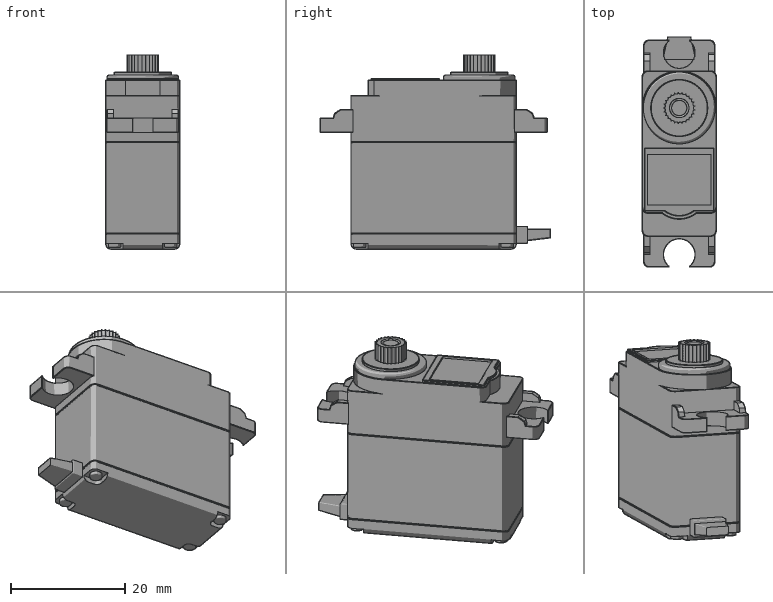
import cadquery as cq
import math

CASE_WIDTH = 13.0
CASE_LENGTH = 29.0
CASE_CORNER_RADIUS = 1.0
SHOULDER_HEIGHT = 27.0
CASE_END = CASE_LENGTH / 2
CASE_SIDE = CASE_WIDTH / 2
BOTTOM_FILLET = 1.0
EDGE_BREAK = 0.1

GROOVE_HEIGHTS = (2.75, 18.8)
GROOVE_WIDTH = 0.2
GROOVE_DEPTH = 0.2

POCKET_SIZE = 3.05
POCKET_RADIUS = 0.93
POCKET_DEPTH = BOTTOM_FILLET
SCREW_INSET = 1.58
SCREW_HEAD_RADIUS = 1.1
SCREW_HEAD_BOTTOM = 0.32
SCREW_HEAD_FILLET = 0.2

SHAFT_Y = CASE_END - CASE_SIDE
TIER_TOP = 29.65
TIER_FRONT = -10.45
TIER_BULGE_WIDTH = 6.0
TIER_BULGE_DEPTH = 1.05

PLATE_WIDTH = 12.2
PLATE_BACK = 1.0
PLATE_FRONT = -10.1
PLATE_THICKNESS = 0.32
PLATE_BULGE_WIDTH = 5.1
PLATE_BULGE_DEPTH = 0.85
PLATE_CORNER_RADIUS = 0.2
WINDOW_WIDTH = 11.05
WINDOW_BACK = -0.12
WINDOW_FRONT = -9.0

COLLAR_RADIUS = 6.3
COLLAR_TOP = 30.6
COLLAR_FILLET = 0.5
DISC_RADIUS = 5.0
DISC_TOP = 31.05

LUG_END = 19.9
LUG_WIDTH = 12.52
LUG_BOTTOM = 20.5
LUG_TOP = 23.0
LUG_CORNER_RADIUS = 1.0
LUG_HOLE_RADIUS = 2.75
LUG_HOLE_Y = 17.7
LUG_SLOT_WIDTH = 3.55

GUSSET_WIDTH = 1.17
GUSSET_TOP = 24.52
GUSSET_FLAT = 1.78
GUSSET_SLOPES = ((0.6, 0.35), (0.5, 0.35), (0.3, 0.85))

BOOT_WIDTH = 6.05
BOOT_LENGTH = 1.98
BOOT_BOTTOM = 1.0
BOOT_TOP = 4.0
CABLE_END = 20.5
CABLE_FILLET = 0.2
CABLE_TOP = 3.5
CABLE_ROOT_WIDTH = 5.8
CABLE_ROOT_BOTTOM = 1.5
CABLE_TIP_WIDTH = 4.05
CABLE_TIP_BOTTOM = 1.98

SHAFT_TOP = 34.1
SPLINE_TEETH = 25
SPLINE_TIP_RADIUS = 2.75
SPLINE_ROOT_RADIUS = 2.45
RECESS_RADIUS = 1.7
RECESS_FLOOR_RADIUS = 1.35
RECESS_DEPTH = 0.12


def block(width, y_start, y_end, z_start, z_end):
    """Box centred on X between two Y and two Z positions."""
    size = (width, y_end - y_start, z_end - z_start)
    return cq.Workplane().box(*size, centered=(True, False, False)).translate((0, y_start, z_start))


def disc(radius, y, z_start, z_end):
    """Upright cylinder on the YZ plane of symmetry."""
    return cq.Workplane(origin=(0, y, z_start)).circle(radius).extrude(z_end - z_start)


def bulged_outline(z, width, back, front, bulge_width, bulge_depth):
    """Rectangle whose -Y side swells outwards in a shallow arc at its middle."""
    return (
        cq.Workplane(origin=(0, 0, z))
        .moveTo(-width / 2, back)
        .lineTo(-width / 2, front)
        .lineTo(-bulge_width / 2, front)
        .threePointArc((0, front - bulge_depth), (bulge_width / 2, front))
        .lineTo(width / 2, front)
        .lineTo(width / 2, back)
        .close()
    )


def make_case():
    body = block(CASE_WIDTH, -CASE_END, CASE_END, 0, SHOULDER_HEIGHT)
    body = body.edges("|Z").fillet(CASE_CORNER_RADIUS)
    return body.faces("<Z").edges().fillet(BOTTOM_FILLET).faces(">Z").edges().chamfer(EDGE_BREAK)


def make_groove(height):
    """Thin ring around the case, to be cut away."""
    z_start = height - GROOVE_WIDTH / 2
    z_end = z_start + GROOVE_WIDTH
    core_end = CASE_END - GROOVE_DEPTH
    outer = block(CASE_WIDTH, -CASE_END, CASE_END, z_start, z_end)
    core = block(CASE_WIDTH - 2 * GROOVE_DEPTH, -core_end, core_end, z_start, z_end)
    core = core.edges("|Z").fillet(CASE_CORNER_RADIUS)
    return outer.cut(core)


def make_tier():
    base = SHOULDER_HEIGHT - EDGE_BREAK
    tier = bulged_outline(
        base, CASE_WIDTH, SHAFT_Y, TIER_FRONT, TIER_BULGE_WIDTH, TIER_BULGE_DEPTH
    ).extrude(TIER_TOP - base)
    tier = tier.edges("|Z and (<X or >X)").edges("<Y").fillet(CASE_CORNER_RADIUS)
    tier = tier.union(disc(CASE_SIDE, SHAFT_Y, base, TIER_TOP))
    return tier.faces(">Z").edges().chamfer(EDGE_BREAK)


def make_label_plate():
    top = TIER_TOP + PLATE_THICKNESS
    plate = bulged_outline(
        TIER_TOP, PLATE_WIDTH, PLATE_BACK, PLATE_FRONT, PLATE_BULGE_WIDTH, PLATE_BULGE_DEPTH
    ).extrude(PLATE_THICKNESS)
    plate = plate.edges("|Z and >Y").fillet(PLATE_CORNER_RADIUS)
    plate = plate.faces(">Z").edges().chamfer(EDGE_BREAK)
    return plate.cut(block(WINDOW_WIDTH, WINDOW_FRONT, WINDOW_BACK, TIER_TOP, top))


def make_boss():
    collar = disc(COLLAR_RADIUS, SHAFT_Y, TIER_TOP, COLLAR_TOP).faces(">Z").edges().fillet(COLLAR_FILLET)
    rim = disc(DISC_RADIUS, SHAFT_Y, COLLAR_TOP, DISC_TOP).faces(">Z").edges().chamfer(EDGE_BREAK)
    return collar.union(rim)


def make_gusset():
    """Rib on the +X side of the +Y lug, sloping down to the lug at its outer end."""
    gusset = (
        cq.Workplane("YZ", origin=(LUG_WIDTH / 2 - GUSSET_WIDTH, CASE_END, 0))
        .moveTo(-CASE_CORNER_RADIUS, LUG_BOTTOM + CASE_CORNER_RADIUS)
        .lineTo(-CASE_CORNER_RADIUS, GUSSET_TOP)
        .lineTo(GUSSET_FLAT, GUSSET_TOP)
    )
    for run, drop in GUSSET_SLOPES:
        gusset = gusset.line(run, -drop)
    gusset = gusset.lineTo(GUSSET_FLAT + sum(run for run, _ in GUSSET_SLOPES), LUG_BOTTOM + CASE_CORNER_RADIUS)
    gusset = gusset.close().extrude(GUSSET_WIDTH)
    return gusset.faces(">X").edges("not (<Y or <Z)").chamfer(EDGE_BREAK)


def make_lug():
    """Lug on the +Y end: an open screw hole between two gussets."""
    lug = block(LUG_WIDTH, CASE_END - CASE_CORNER_RADIUS, LUG_END, LUG_BOTTOM, LUG_TOP)
    lug = lug.edges("|Z and >Y").fillet(LUG_CORNER_RADIUS)
    lug = lug.faces("<Z or >Z").edges("not <Y").chamfer(EDGE_BREAK)
    lug = lug.cut(disc(LUG_HOLE_RADIUS, LUG_HOLE_Y, LUG_BOTTOM, LUG_TOP))
    lug = lug.cut(block(LUG_SLOT_WIDTH, LUG_HOLE_Y, LUG_END, LUG_BOTTOM, LUG_TOP))
    gusset = make_gusset()
    return lug.union(gusset).union(gusset.mirror("YZ"))


def make_corner_pocket():
    """Screw pocket of the +X +Y bottom corner, with the screw head left standing in it."""
    pocket = (
        cq.Workplane(origin=(CASE_SIDE, CASE_END, 0))
        .rect(-2 * POCKET_SIZE, -2 * POCKET_SIZE)
        .extrude(POCKET_DEPTH)
        .edges("|Z")
        .fillet(POCKET_RADIUS)
    )
    head = (
        cq.Workplane(origin=(CASE_SIDE - SCREW_INSET, CASE_END - SCREW_INSET, SCREW_HEAD_BOTTOM))
        .circle(SCREW_HEAD_RADIUS)
        .extrude(POCKET_DEPTH - SCREW_HEAD_BOTTOM)
        .faces("<Z")
        .edges()
        .fillet(SCREW_HEAD_FILLET)
    )
    return pocket.cut(head)


def make_cable():
    boot_end = CASE_END + BOOT_LENGTH
    boot = block(BOOT_WIDTH, CASE_END - CASE_CORNER_RADIUS, boot_end, BOOT_BOTTOM, BOOT_TOP)
    boot = boot.edges("not <Y").fillet(CABLE_FILLET)
    root_height = CABLE_TOP - CABLE_ROOT_BOTTOM
    tip_height = CABLE_TOP - CABLE_TIP_BOTTOM
    cable = (
        cq.Workplane("XZ", origin=(0, boot_end, CABLE_TOP))
        .center(0, -root_height / 2)
        .rect(CABLE_ROOT_WIDTH, root_height)
        .workplane(offset=boot_end - CABLE_END)
        .center(0, (root_height - tip_height) / 2)
        .rect(CABLE_TIP_WIDTH, tip_height)
        .loft(ruled=True)
        .edges("not (|X or |Z)")
        .fillet(CABLE_FILLET)
    )
    return boot.union(cable)


def make_housing():
    housing = make_case().union(make_tier())
    for height in GROOVE_HEIGHTS:
        housing = housing.cut(make_groove(height))
    pocket = make_corner_pocket()
    end_pockets = [pocket, pocket.mirror("YZ")]
    for cutter in end_pockets:
        housing = housing.cut(cutter).cut(cutter.mirror("XZ"))
    lug = make_lug()
    housing = housing.union(lug).union(lug.mirror("XZ"))
    return housing.union(make_label_plate()).union(make_boss()).union(make_cable())


def make_output_shaft():
    """Stub with sharp teeth between concave flutes, and a shallow dish in its top."""

    def point(radius, steps):
        angle = math.pi + steps * 2 * math.pi / SPLINE_TEETH
        return (radius * math.cos(angle), radius * math.sin(angle))

    outline = cq.Workplane(origin=(0, SHAFT_Y, DISC_TOP)).moveTo(*point(SPLINE_TIP_RADIUS, 0))
    for tooth in range(SPLINE_TEETH):
        valley = point(SPLINE_ROOT_RADIUS, tooth + 0.5)
        outline = outline.threePointArc(valley, point(SPLINE_TIP_RADIUS, tooth + 1))
    shaft = outline.close().extrude(SHAFT_TOP - DISC_TOP)
    recess = cq.Solid.makeCone(
        RECESS_FLOOR_RADIUS, RECESS_RADIUS, RECESS_DEPTH, pnt=cq.Vector(0, SHAFT_Y, SHAFT_TOP - RECESS_DEPTH)
    )
    return shaft.cut(cq.Workplane(recess))


housing = make_housing()
output_shaft = make_output_shaft()
result = cq.Compound.makeCompound([housing.val(), output_shaft.val()])